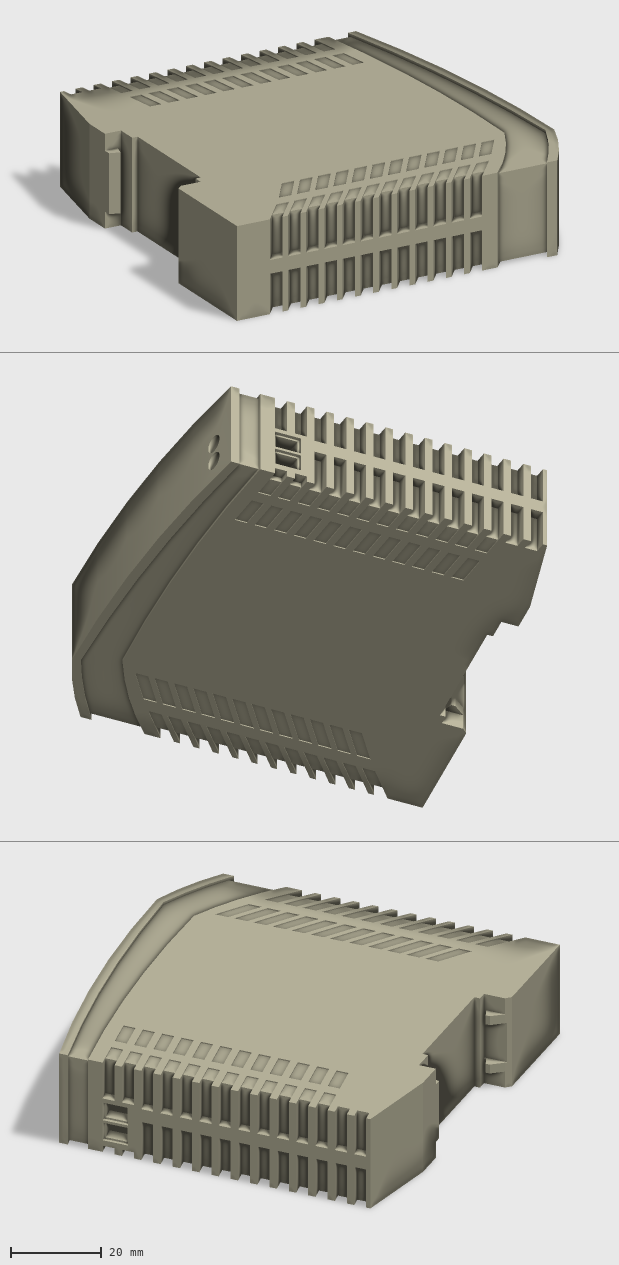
import cadquery as cq


width = 90.2
height = 89.8
thickness = 22.5
mid_z = thickness / 2

body_left_y = 74.1
body_peak_x = 69.8
body_peak_y = 79.3
body_right_y = 66.0
lid_left_y = 81.1
lid_peak_x = 73.5
lid_right_y = 81.2
lid_drop = 2.1
lid_drop_right = 2.6
lid_under_peak_x = 72.9
lid_under_peak_y = 87.9

body_left_mid = (31.6, 78.2)
body_right_mid = (81.2, 73.1)
lid_left_mid = (44.0, 88.5)
lid_right_mid = (83.2, 85.6)
lid_under_left_mid = (44.0, 86.1)
lid_under_right_mid = (82.1, 83.6)

neck_left = 0.8
neck_right = 89.0
neck_inset_z = 0.7
neck_bottom_y = 58.6
neck_overlap = 0.9
neck_mid = (44.0, 87.3)

seat_y = 7.6
seat_left = 32.1
seat_right = 60.5
shelf_y = 6.2
left_foot_y = 2.2
left_foot_start = 20.1
left_wall_y = 6.0
recess_left = 27.1
recess_right = 62.8
foot_bevel_x = 63.95
foot_bevel_y = 1.2

hook_length_z = 14.4
left_hook_top_y = 5.4
left_hook_tip = (29.6, 4.7)
left_hook_toe_x = 28.9
right_hook_top_y = 5.8
right_hook_tip_x = 60.6
right_hook_tip_top_y = 4.9
right_hook_tip_bottom_y = 3.9
prong_gap_z = 9.9
gap_wall_x = 63.1
gap_mouth_y = 0.6

vent_depth = 0.3
left_slot_count = 14
left_vent_count = 12
left_slot_span = 60.7
left_pitch = left_slot_span / (left_slot_count - 1)
left_slope = 0.15
left_slot_y = 70.6
left_slot_height = 2.9
left_slot_depth = 2.5
left_outer_end = 7.3
left_inner_start = 10.2
left_inner_end = 17.5

right_count = 12
right_span = 50.7
right_pitch = right_span / (right_count - 1)
right_slot_height = 3.2
right_slot_depth = 2.7
right_outer_start = 82.9
right_outer_y = 68.0
right_outer_slope = -0.8
right_inner_start = 72.3
right_inner_end = 79.65
right_inner_y = 75.3
right_inner_slope = -0.67

web_bottom = 9.6
web_top = 12.8
short_slot_count = 2
short_web_bottom = 1.5
short_web_top = 13.4

pocket_z_centers = (5.1, 10.2)
pocket_size_z = 4.4
pocket_top_y = 70.6
pocket_bottom_y = 64.5
pocket_rim = 0.45
pocket_rim_depth = 0.8
pocket_depth = 4.1
window_x = 6.5
window_diameter = 4.3
window_floor_y = 80.7


def make_body():
    return (
        cq.Workplane("XY")
        .moveTo(0, left_wall_y)
        .lineTo(left_foot_start, left_foot_y)
        .lineTo(recess_left, left_foot_y)
        .lineTo(recess_left, shelf_y)
        .lineTo(seat_left, shelf_y)
        .lineTo(seat_left, seat_y)
        .lineTo(seat_right, seat_y)
        .lineTo(seat_right, shelf_y)
        .lineTo(recess_right, shelf_y)
        .lineTo(recess_right, foot_bevel_y)
        .lineTo(foot_bevel_x, 0)
        .lineTo(width, 0)
        .lineTo(width, body_right_y)
        .threePointArc(body_right_mid, (body_peak_x, body_peak_y))
        .threePointArc(body_left_mid, (0, body_left_y))
        .close()
        .extrude(thickness)
    )


def make_lid():
    return (
        cq.Workplane("XY")
        .moveTo(0, lid_left_y - lid_drop)
        .threePointArc(lid_under_left_mid, (lid_under_peak_x, lid_under_peak_y))
        .threePointArc(lid_under_right_mid, (width, lid_right_y - lid_drop_right))
        .lineTo(width, lid_right_y)
        .threePointArc(lid_right_mid, (lid_peak_x, height))
        .threePointArc(lid_left_mid, (0, lid_left_y))
        .close()
        .extrude(thickness)
    )


def make_neck():
    """Slightly thinner band whose upper edge lies inside the lid."""
    return (
        cq.Workplane("XY", origin=(0, 0, neck_inset_z))
        .moveTo(neck_left, neck_bottom_y)
        .lineTo(neck_right, neck_bottom_y)
        .lineTo(neck_right, lid_right_y - neck_overlap)
        .lineTo(lid_under_peak_x, lid_under_peak_y + neck_overlap)
        .threePointArc(neck_mid, (neck_left, lid_left_y - neck_overlap))
        .close()
        .extrude(thickness - 2 * neck_inset_z)
    )


def centered_prism(points, length):
    """Extrude an XY outline symmetrically about the middle of the thickness."""
    base = cq.Workplane("XY", origin=(0, 0, mid_z - length / 2))
    return base.polyline(points).close().extrude(length)


def make_left_hook():
    points = [
        (recess_left, left_hook_top_y),
        left_hook_tip,
        (left_hook_toe_x, left_foot_y),
        (recess_left, left_foot_y),
    ]
    return centered_prism(points, hook_length_z)


def make_right_hook():
    points = [
        (recess_right, right_hook_top_y),
        (right_hook_tip_x, right_hook_tip_top_y),
        (right_hook_tip_x, right_hook_tip_bottom_y),
        (recess_right, foot_bevel_y),
    ]
    return centered_prism(points, hook_length_z)


def make_prong_gap():
    """Splits the right hook into two prongs and sets back the foot wall between them."""
    return centered_prism(
        [(seat_right, shelf_y), (gap_wall_x, shelf_y), (gap_wall_x, gap_mouth_y), (seat_right, gap_mouth_y)],
        prong_gap_z,
    )


def slanted_bar(x_start, x_end, top_y, slope, bar_height, z_start, z_end):
    """Parallelogram bar; top_y is its upper edge at x_start."""
    end_y = top_y + slope * (x_end - x_start)
    points = [
        (x_start, top_y),
        (x_end, end_y),
        (x_end, end_y - bar_height),
        (x_start, top_y - bar_height),
    ]
    bar = cq.Workplane("XY", origin=(0, 0, z_start)).polyline(points).close().extrude(z_end - z_start)
    return bar.val()


def face_vents(x_start, x_end, first_y, slope, bar_height, pitch, count):
    """Column of shallow vents, the same on both large faces."""
    vents = []
    for i in range(count):
        shape = (x_start, x_end, first_y - i * pitch, slope, bar_height)
        vents.append(slanted_bar(*shape, thickness - vent_depth, thickness))
        vents.append(slanted_bar(*shape, 0, vent_depth))
    return vents


def left_vents():
    cutters = []
    for i in range(left_slot_count):
        is_short = i < short_slot_count
        lower_end = short_web_bottom if is_short else web_bottom
        upper_start = short_web_top if is_short else web_top
        shape = (0, left_slot_depth, left_slot_y - i * left_pitch, left_slope, left_slot_height)
        cutters.append(slanted_bar(*shape, 0, lower_end))
        cutters.append(slanted_bar(*shape, upper_start, thickness))
    columns = ((left_slot_depth, left_outer_end), (left_inner_start, left_inner_end))
    for x_start, x_end in columns:
        first_y = left_slot_y + left_slope * x_start
        cutters += face_vents(
            x_start, x_end, first_y, left_slope, left_slot_height, left_pitch, left_vent_count
        )
    return cutters


def right_vents():
    slot_x = width - right_slot_depth
    slot_y = right_outer_y + right_outer_slope * (slot_x - right_outer_start)
    cutters = []
    for i in range(right_count):
        shape = (slot_x, width, slot_y - i * right_pitch, right_outer_slope, right_slot_height)
        cutters.append(slanted_bar(*shape, 0, web_bottom))
        cutters.append(slanted_bar(*shape, web_top, thickness))
    columns = (
        (right_outer_start, slot_x, right_outer_y, right_outer_slope),
        (right_inner_start, right_inner_end, right_inner_y, right_inner_slope),
    )
    for column in columns:
        cutters += face_vents(*column, right_slot_height, right_pitch, right_count)
    return cutters


def connector_pockets():
    """Stepped pockets: a shallow straight rim around a deeper opening slanted like the slots."""
    rim_y = pocket_top_y - pocket_bottom_y
    opening_y = rim_y - 2 * pocket_rim
    opening_top = pocket_top_y - pocket_rim
    cutters = []
    for z in pocket_z_centers:
        z_start = z - pocket_size_z / 2
        z_end = z + pocket_size_z / 2
        cutters.append(slanted_bar(0, pocket_rim_depth, pocket_top_y, 0, rim_y, z_start, z_end))
        cutters.append(slanted_bar(
            pocket_rim_depth, pocket_depth, opening_top, left_slope, opening_y,
            z_start + pocket_rim, z_end - pocket_rim,
        ))
    return cutters


def lid_windows():
    """Shallow round blind holes in the domed top of the lid."""
    return [
        cq.Solid.makeCylinder(
            window_diameter / 2,
            height - window_floor_y,
            cq.Vector(window_x, window_floor_y, z),
            cq.Vector(0, 1, 0),
        )
        for z in pocket_z_centers
    ]


housing = make_body().union(make_neck()).union(make_lid())
housing = housing.union(make_left_hook()).union(make_right_hook()).cut(make_prong_gap())

openings = left_vents() + right_vents() + connector_pockets() + lid_windows()
result = cq.Workplane("XY").newObject([housing.val().cut(*openings)])